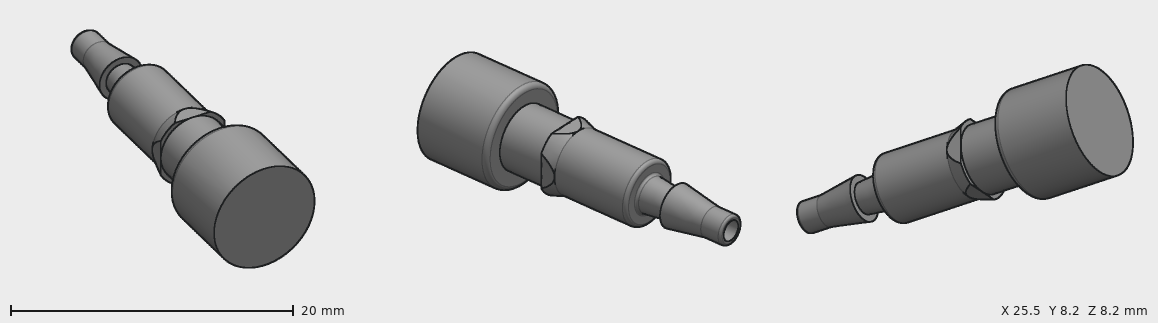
import cadquery as cq

barb_start = 1.8
barb_end = 5.1
neck_root = 7.35
body_start = 7.55
collar_start = 14.1
collar_end = 15.33
head_start = 19.15
total_length = 25.5

tip_diameter = 2.4
barb_diameter = 3.47
neck_root_diameter = 2.88
body_diameter = 5.2
collar_diameter = 5.97
head_diameter = 8.2
bore_diameter = 1.6
dome_flat_diameter = 0.43

tip_round = 0.2
body_round = 0.3
head_round = 0.4
bore_depth = barb_end
dome_base = 0.13


def disc(start, diameter):
    """Circle around the X axis at the given station."""
    return cq.Workplane("YZ", origin=(start, 0, 0)).circle(diameter / 2)


def cylinder(start, end, diameter):
    return disc(start, diameter).extrude(end - start)


def frustum(start, end, start_diameter, end_diameter):
    return (
        disc(start, start_diameter)
        .workplane(offset=end - start)
        .circle(end_diameter / 2)
        .loft(ruled=True)
    )


def make_barb():
    """Rounded tip and barb cone."""
    tip = cylinder(0, barb_start, tip_diameter).faces("<X").edges().fillet(tip_round)
    cone = frustum(barb_start, barb_end, tip_diameter, barb_diameter)
    return tip.union(cone)


def make_neck():
    """Tapered neck that blends into the body face with a concave quarter round."""
    root_radius = neck_root_diameter / 2
    blend = body_start - neck_root
    half_section = (
        cq.Workplane("XY")
        .moveTo(barb_end, 0)
        .lineTo(barb_end, tip_diameter / 2)
        .lineTo(neck_root, root_radius)
        .radiusArc((body_start, root_radius + blend), -blend)
        .lineTo(body_start, 0)
        .close()
    )
    return half_section.revolve(360, (0, 0, 0), (1, 0, 0))


def make_collar():
    """Flared collar with four flats level with the body surface."""
    cone = frustum(collar_start, collar_end, body_diameter, collar_diameter)
    square = (
        cq.Workplane("YZ", origin=(collar_start, 0, 0))
        .rect(body_diameter, body_diameter)
        .extrude(collar_end - collar_start)
    )
    return cone.intersect(square)


def make_bore():
    """Blind bore whose floor is a dome rising toward the tip."""
    dome_radius = (bore_diameter - dome_flat_diameter) / 2
    dome_height = dome_radius + dome_base
    dome = (
        cylinder(bore_depth - dome_height, bore_depth, bore_diameter)
        .faces("<X")
        .edges()
        .fillet(dome_radius)
    )
    return cylinder(0, bore_depth, bore_diameter).cut(dome)


body = cylinder(body_start, head_start, body_diameter).faces("<X").edges().fillet(body_round)
head = cylinder(head_start, total_length, head_diameter).faces("<X").edges().fillet(head_round)

result = make_barb().union(make_neck()).union(body).union(make_collar()).union(head)
result = result.cut(make_bore())